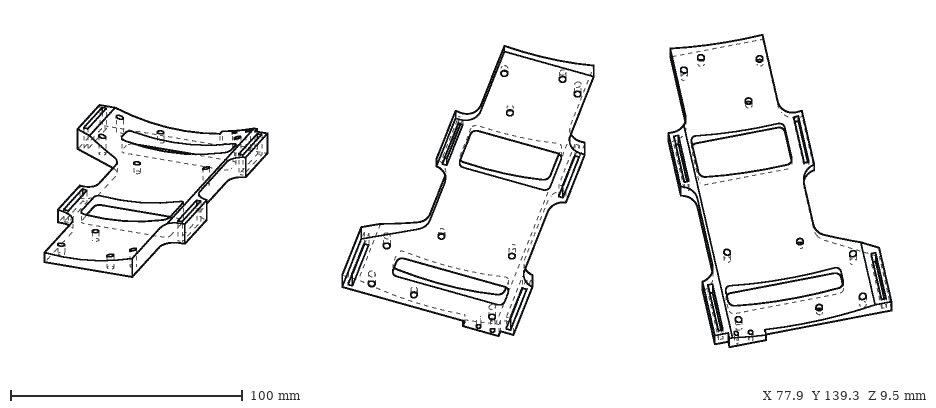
import cadquery as cq
import math

PLATE_WIDTH = 77.9
PLATE_LENGTH = 139.34
PLATE_HEIGHT = 9.5
RIGHT_EDGE = PLATE_WIDTH / 2
LEFT_EDGE = -PLATE_WIDTH / 2

TROUGH_FLOOR = 4.0
TROUGH_WIDTH = 63.4
TROUGH_DEPTH = PLATE_HEIGHT - TROUGH_FLOOR
TROUGH_RADIUS = ((TROUGH_WIDTH / 2) ** 2 + TROUGH_DEPTH ** 2) / (2 * TROUGH_DEPTH)

SLOT_WIDTH = 2.0
SLOT_LENGTH = 22.0
SLOT_MARGIN = 2.0
ARM_LENGTH = SLOT_LENGTH + 2 * SLOT_MARGIN
CORNER_RADIUS = 7.0

TAB_LENGTH = 2.6
TAB_WIDTH = 16.2

HEAD_END = PLATE_LENGTH - TAB_LENGTH
HEAD_ARM_START = HEAD_END - ARM_LENGTH
REAR_ARM_START = 39.15
REAR_ARM_END = REAR_ARM_START + ARM_LENGTH

BODY_LEFT = -13.85
BODY_RIGHT = RIGHT_EDGE - 5.9
REAR_ARM_LEFT = -19.9
TAIL_LEFT = -10.75
TAIL_RIGHT = 29.95

SLANT_ANGLE = math.radians(30)

HEAD_WINDOW = (-20.8, TAIL_RIGHT, 114.5, 124.15)
HEAD_WINDOW_RADIUS = 2.5
REAR_WINDOW = (-11.15, TAIL_RIGHT, 42.3, 62.05)
REAR_WINDOW_RADIUS = 2.5

TAB_HOLE_DIAMETER = 1.9
TAB_HOLES = [(23.3, 137.3), (29.65, 137.3)]
SIDE_HOLE_DIAMETER = 2.9
SIDE_HOLES = [(-27.4, 131.15), (-27.4, 110.6)]
BODY_HOLE_DIAMETER = 2.8
BODY_HOLES = [(-8.3, 130.8), (27.25, 130.8), (-6.55, 98.55), (25.5, 98.55)]
TAIL_HOLE_DIAMETER = 2.9
TAIL_HOLES = [(1.5, 29.1), (-7.2, 10.7), (26.1, 10.7), (17.6, 5.6)]


def arc_rise(step):
    """Length along Y of a corner arc that is tangent to a Y edge and spans `step` along X."""
    return math.sqrt(CORNER_RADIUS ** 2 - (CORNER_RADIUS - step) ** 2)


def make_plate():
    """Full-height plate with the arms, the tab and the rounded transitions of the outline."""
    right_rise = arc_rise(RIGHT_EDGE - BODY_RIGHT)
    left_rise = arc_rise(BODY_LEFT - REAR_ARM_LEFT)
    tail_corner_y = REAR_ARM_START - CORNER_RADIUS

    turn = math.pi / 2 - SLANT_ANGLE
    slant_end_x = BODY_LEFT - CORNER_RADIUS * (1 - math.cos(turn))
    slant_end_y = HEAD_ARM_START - (slant_end_x - LEFT_EDGE) * math.tan(SLANT_ANGLE)
    body_left_top = slant_end_y - CORNER_RADIUS * math.sin(turn)

    return (
        cq.Workplane("XY")
        .moveTo(TAIL_LEFT, 0)
        .lineTo(TAIL_RIGHT, 0)
        .lineTo(TAIL_RIGHT, tail_corner_y)
        .radiusArc((TAIL_RIGHT + CORNER_RADIUS, REAR_ARM_START), CORNER_RADIUS)
        .lineTo(RIGHT_EDGE, REAR_ARM_START)
        .lineTo(RIGHT_EDGE, REAR_ARM_END)
        .radiusArc((BODY_RIGHT, REAR_ARM_END + right_rise), CORNER_RADIUS)
        .lineTo(BODY_RIGHT, HEAD_ARM_START - right_rise)
        .radiusArc((RIGHT_EDGE, HEAD_ARM_START), CORNER_RADIUS)
        .lineTo(RIGHT_EDGE, HEAD_END)
        .lineTo(BODY_RIGHT, HEAD_END)
        .lineTo(BODY_RIGHT, PLATE_LENGTH)
        .lineTo(BODY_RIGHT - TAB_WIDTH, PLATE_LENGTH)
        .lineTo(BODY_RIGHT - TAB_WIDTH, HEAD_END)
        .lineTo(LEFT_EDGE, HEAD_END)
        .lineTo(LEFT_EDGE, HEAD_ARM_START)
        .lineTo(slant_end_x, slant_end_y)
        .radiusArc((BODY_LEFT, body_left_top), CORNER_RADIUS)
        .lineTo(BODY_LEFT, REAR_ARM_END + left_rise)
        .radiusArc((REAR_ARM_LEFT, REAR_ARM_END), CORNER_RADIUS)
        .lineTo(REAR_ARM_LEFT, REAR_ARM_START)
        .lineTo(TAIL_LEFT - CORNER_RADIUS, REAR_ARM_START)
        .radiusArc((TAIL_LEFT, tail_corner_y), CORNER_RADIUS)
        .close()
        .extrude(PLATE_HEIGHT)
    )


def make_trough():
    """Cylinder that hollows the upper face along the whole length."""
    return (
        cq.Workplane("XZ", origin=(0, PLATE_LENGTH, TROUGH_FLOOR + TROUGH_RADIUS))
        .circle(TROUGH_RADIUS)
        .extrude(PLATE_LENGTH)
    )


def make_slots():
    """Strap slots, one set in from the outer edge of each arm."""
    inset = SLOT_MARGIN + SLOT_WIDTH / 2
    head_y = HEAD_ARM_START + ARM_LENGTH / 2
    rear_y = REAR_ARM_START + ARM_LENGTH / 2
    centres = [
        (LEFT_EDGE + inset, head_y),
        (RIGHT_EDGE - inset, head_y),
        (REAR_ARM_LEFT + inset, rear_y),
        (RIGHT_EDGE - inset, rear_y),
    ]
    return cq.Workplane("XY").pushPoints(centres).rect(SLOT_WIDTH, SLOT_LENGTH).extrude(PLATE_HEIGHT)


def make_window(limits, radius):
    """Rectangular through window with rounded corners."""
    x_min, x_max, y_min, y_max = limits
    return (
        cq.Workplane("XY")
        .center((x_min + x_max) / 2, (y_min + y_max) / 2)
        .rect(x_max - x_min, y_max - y_min)
        .extrude(PLATE_HEIGHT)
        .edges("|Z")
        .fillet(radius)
    )


def make_holes(centres, diameter):
    """Through holes of one diameter."""
    return cq.Workplane("XY").pushPoints(centres).circle(diameter / 2).extrude(PLATE_HEIGHT)


result = (
    make_plate()
    .cut(make_trough())
    .cut(make_slots())
    .cut(make_window(HEAD_WINDOW, HEAD_WINDOW_RADIUS))
    .cut(make_window(REAR_WINDOW, REAR_WINDOW_RADIUS))
    .cut(make_holes(TAB_HOLES, TAB_HOLE_DIAMETER))
    .cut(make_holes(SIDE_HOLES, SIDE_HOLE_DIAMETER))
    .cut(make_holes(BODY_HOLES, BODY_HOLE_DIAMETER))
    .cut(make_holes(TAIL_HOLES, TAIL_HOLE_DIAMETER))
)